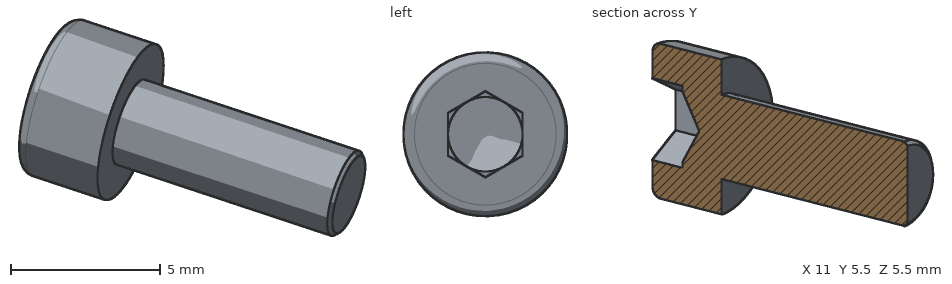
import cadquery as cq
import math

total_length = 11.0
head_diameter = 5.5
head_length = 3.0
head_round = 0.37
shank_diameter = 3.0
tip_chamfer = 0.13
socket_across_flats = 2.5
socket_depth = 1.3
socket_cone_angle = 120.0


def make_head():
    head = cq.Workplane("YZ").circle(head_diameter / 2).extrude(head_length)
    return head.faces("<X").edges().fillet(head_round)


def make_shank():
    shank_length = total_length - head_length
    shank = cq.Workplane("YZ", origin=(head_length, 0, 0)).circle(shank_diameter / 2).extrude(shank_length)
    return shank.faces(">X").edges().chamfer(tip_chamfer)


def make_socket():
    """Hexagonal recess with two corners along Z, ending in a conical drill point."""
    across_corners = socket_across_flats / math.cos(math.pi / 6)
    hexagon = (
        cq.Workplane("YZ")
        .transformed(rotate=(0, 0, 90))
        .polygon(6, across_corners)
        .extrude(socket_depth)
    )
    cone_radius = socket_across_flats / 2
    cone_depth = cone_radius / math.tan(math.radians(socket_cone_angle / 2))
    cone = cq.Solid.makeCone(
        cone_radius, 0, cone_depth, pnt=cq.Vector(socket_depth, 0, 0), dir=cq.Vector(1, 0, 0)
    )
    return hexagon.union(cq.Workplane(cone))


result = make_head().union(make_shank()).cut(make_socket())